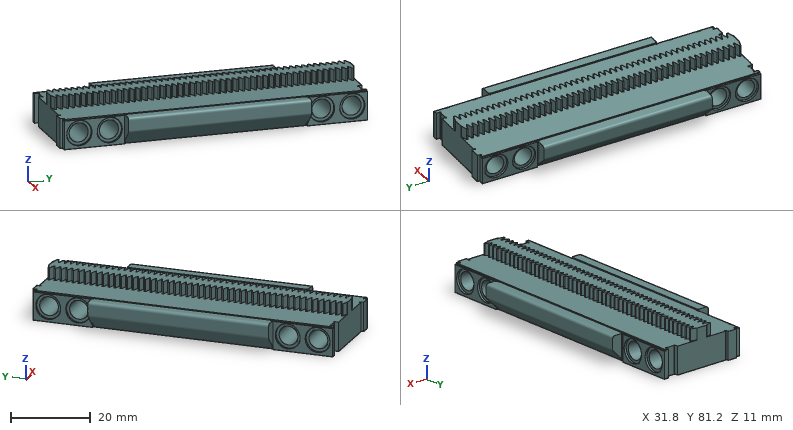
import cadquery as cq

body_length = 80.0
body_height = 7.8
core_half_width = 12.0
pad_half_width = 12.5
pad_height = 7.5

rail_half_width = 15.9
rail_length = 48.3
rail_side_bottom = 4.0
rail_fillet = 0.8
rail_relief_width = 0.25
rail_relief_depth = 0.25

part_height = 11.0
rack_tip_half_width = 3.3
rack_root_half_width = 1.6
tooth_count = 50
tooth_pitch = body_length / tooth_count
tooth_tip_width = 0.4
root_gap_width = 0.25

tab_inner_x = 8.2
tab_width = 2.8
tab_protrusion = 0.6
tab_relief_width = 0.25
tab_relief_depth = 0.45
notch_clearance = 0.1
notch_depth = 1.0
notch_relief_width = 0.2
notch_relief_depth = 0.2

hole_diameter = 5.0
counterbore_diameter = 6.6
counterbore_depth = 0.65
hole_positions_y = (28.0, 36.0)
hole_z = 4.0


def box(x_min, x_max, y_min, y_max, z_min, z_max):
    """Axis-aligned block given by its limits."""
    size = (x_max - x_min, y_max - y_min, z_max - z_min)
    return cq.Workplane("XY").box(*size, centered=False).translate((x_min, y_min, z_min))


def half_turn(shape):
    """The shape turned by 180 degrees about the Z axis."""
    return shape.rotate((0, 0, 0), (0, 0, 1), 180)


def make_core():
    """Plain block that carries every other feature."""
    half_length = body_length / 2
    return box(-core_half_width, core_half_width, -half_length, half_length, 0, body_height)


def make_pads():
    """Thin pads on the +X side, beyond both ends of the rail."""
    pad_start = rail_length / 2
    pad = box(core_half_width, pad_half_width, pad_start, body_length / 2, 0, pad_height)
    return pad.union(pad.mirror("XZ"))


def make_rail():
    """Rail on the +X side, with a 45 degree underside and rounded outer edges.

    A shallow groove along its top separates it from the core, and a narrow
    relief at each end separates it from the pads.
    """
    root_bottom = rail_side_bottom - (rail_half_width - core_half_width)
    rail = (
        cq.Workplane("XZ")
        .moveTo(core_half_width, root_bottom)
        .lineTo(rail_half_width, rail_side_bottom)
        .lineTo(rail_half_width, body_height)
        .lineTo(pad_half_width, body_height)
        .lineTo(pad_half_width, pad_height)
        .lineTo(core_half_width, pad_height)
        .close()
        .extrude(rail_length / 2, both=True)
        .edges("|Y and >X")
        .fillet(rail_fillet)
    )
    relief_x = pad_half_width + rail_relief_width
    relief_y = rail_length / 2 - rail_relief_depth
    relief = box(core_half_width, relief_x, relief_y, rail_length / 2, 0, body_height)
    return rail.cut(relief).cut(relief.mirror("XZ"))


def make_rack():
    """Bar with straight-flanked teeth on both long sides, cut off at the body ends."""
    half_tip = tooth_tip_width / 2
    half_base = (tooth_pitch - root_gap_width) / 2
    half_length = body_length / 2
    points = []
    for index in range(tooth_count):
        center = (index - (tooth_count - 1) / 2) * tooth_pitch
        points.append((rack_root_half_width, center - half_base))
        points.append((rack_tip_half_width, center - half_tip))
        points.append((rack_tip_half_width, center + half_tip))
        points.append((rack_root_half_width, center + half_base))
    toothed_side = (
        cq.Workplane("XY")
        .workplane(offset=body_height)
        .polyline([(0, points[0][1])] + points + [(0, points[-1][1])])
        .close()
        .extrude(part_height - body_height)
    )
    bar = box(
        -rack_root_half_width, rack_root_half_width, -half_length, half_length, body_height, part_height
    )
    return bar.union(toothed_side).union(half_turn(toothed_side))


def make_tab():
    """Tab standing out of the -Y end."""
    tab_outer_x = tab_inner_x + tab_width
    end = -body_length / 2
    return box(tab_inner_x, tab_outer_x, end - tab_protrusion, end, 0, body_height)


def make_tab_reliefs():
    """Narrow slots in the -Y end, one on each side of the tab."""
    end = -body_length / 2
    tab_outer_x = tab_inner_x + tab_width
    relief_end = end + tab_relief_depth
    inner = box(tab_inner_x - tab_relief_width, tab_inner_x, end, relief_end, 0, body_height)
    outer = box(tab_outer_x, tab_outer_x + tab_relief_width, end, relief_end, 0, body_height)
    return inner.union(outer)


def make_notch():
    """Notch that takes the tab of the next part, with a narrow relief in both floor corners."""
    outer_x = -(tab_inner_x + tab_width + notch_clearance)
    inner_x = -(tab_inner_x - notch_clearance)
    end = -body_length / 2
    floor = end + notch_depth
    relief_floor = floor + notch_relief_depth
    notch = box(outer_x, inner_x, end, floor, 0, body_height)
    outer_relief = box(outer_x, outer_x + notch_relief_width, end, relief_floor, 0, body_height)
    inner_relief = box(inner_x - notch_relief_width, inner_x, end, relief_floor, 0, body_height)
    return notch.union(outer_relief).union(inner_relief)


def drill_holes(part):
    """Cross holes running along X, counterbored from both sides."""
    for y in hole_positions_y:
        for center_y in (-y, y):
            bore = (
                cq.Workplane("YZ", origin=(-pad_half_width, center_y, hole_z))
                .circle(hole_diameter / 2)
                .extrude(2 * pad_half_width)
            )
            part = part.cut(bore)
            counterbore = (
                cq.Workplane("YZ", origin=(pad_half_width - counterbore_depth, center_y, hole_z))
                .circle(counterbore_diameter / 2)
                .extrude(counterbore_depth)
            )
            part = part.cut(counterbore).cut(counterbore.mirror("YZ"))
    return part


side = make_pads().union(make_rail())
part = make_core().union(side).union(half_turn(side)).union(make_rack())
tab = make_tab()
cuts = make_tab_reliefs().union(make_notch())
part = part.union(tab).union(half_turn(tab)).cut(cuts).cut(half_turn(cuts))
result = drill_holes(part)